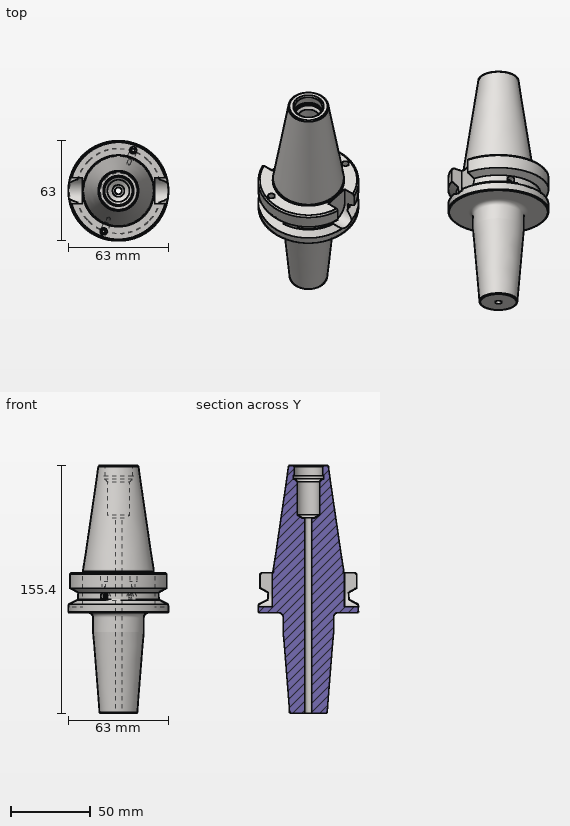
import cadquery as cq
import math


total_height = 155.4
top_z = 65.5
bottom_z = top_z - total_height
flange_top_z = -1.9
flange_bottom_z = -27.0
groove_floor_top_z = -14.3
groove_floor_bottom_z = -18.8
neck_end_z = -39.2

taper_rate = 7 / 24
gauge_radius = 22.2
taper_end_radius = gauge_radius - taper_rate * top_z / 2
flange_radius = 63.0 / 2
groove_radius = 26.5
neck_radius = 16.0
nose_radius = 12.0

taper_end_chamfer = 0.8
flange_top_chamfer = 1.1
flange_bottom_chamfer = 0.6
neck_fillet = 2.8
nose_chamfer = 0.6

relief_start_z = -1.0
relief_depth = 0.5
relief_outer_radius = 22.5

flank_angle = math.radians(30)
flank_height = (flange_radius - groove_radius) * math.tan(flank_angle)
groove_top_z = groove_floor_top_z + flank_height
groove_bottom_z = groove_floor_bottom_z - flank_height

groove_fillet = 0.6
fillet_reach = groove_fillet * math.tan((math.pi / 2 - flank_angle) / 2)
fillet_end_radius = groove_radius + fillet_reach * math.cos(flank_angle)
fillet_end_z = groove_floor_bottom_z - fillet_reach * math.sin(flank_angle)

drill_point_angle = math.radians(118)

mouth_radius = 9.6
pilot_radius = 8.7
undercut_radius = 9.3
thread_radius = 13.8 / 2
drill_radius = 3.7
through_radius = 4.2 / 2
mouth_depth = 1.0
pilot_depth = 6.5
undercut_end_depth = 8.5
thread_depth = 31.1
thread_start_depth = undercut_end_depth + pilot_radius - thread_radius
drill_depth = thread_depth + (thread_radius - drill_radius) / math.tan(drill_point_angle / 2)

slot_width = 16.2
slot_floor_x = 22.7
slot_end_z = -23.2

coolant_circle_radius = 27.0
coolant_angles = (70, 250)
hole_radius = 2.2
hole_depth = 5.5
pilot_hole_radius = 1.1
pilot_hole_depth = 8.5


def outer_body():
    """Taper, grooved flange, neck and tapered nose."""
    return (
        cq.Workplane("YZ")
        .moveTo(0, top_z)
        .lineTo(taper_end_radius - taper_end_chamfer, top_z)
        .lineTo(taper_end_radius, top_z - taper_end_chamfer)
        .lineTo(gauge_radius, 0)
        .lineTo(gauge_radius, relief_start_z)
        .lineTo(gauge_radius - relief_depth, (relief_start_z + flange_top_z) / 2)
        .lineTo(relief_outer_radius, flange_top_z)
        .lineTo(flange_radius - flange_top_chamfer, flange_top_z)
        .lineTo(flange_radius, flange_top_z - flange_top_chamfer)
        .lineTo(flange_radius, groove_top_z)
        .lineTo(groove_radius, groove_floor_top_z)
        .lineTo(groove_radius, groove_floor_bottom_z + fillet_reach)
        .radiusArc((fillet_end_radius, fillet_end_z), -groove_fillet)
        .lineTo(flange_radius, groove_bottom_z)
        .lineTo(flange_radius, flange_bottom_z + flange_bottom_chamfer)
        .lineTo(flange_radius - flange_bottom_chamfer, flange_bottom_z)
        .lineTo(neck_radius + neck_fillet, flange_bottom_z)
        .radiusArc((neck_radius, flange_bottom_z - neck_fillet), -neck_fillet)
        .lineTo(neck_radius, neck_end_z)
        .lineTo(nose_radius, bottom_z + nose_chamfer)
        .lineTo(nose_radius - nose_chamfer, bottom_z)
        .lineTo(0, bottom_z)
        .close()
        .revolve(360, (0, 0, 0), (0, 1, 0))
    )


def bore():
    """Stepped bore from the drive end, carried on as a small through hole."""
    steps = [
        (0, top_z),
        (mouth_radius, top_z),
        (pilot_radius, top_z - mouth_depth),
        (pilot_radius, top_z - pilot_depth),
        (undercut_radius, top_z - pilot_depth),
        (undercut_radius, top_z - undercut_end_depth),
        (pilot_radius, top_z - undercut_end_depth),
        (thread_radius, top_z - thread_start_depth),
        (thread_radius, top_z - thread_depth),
        (drill_radius, top_z - drill_depth),
        (through_radius, top_z - drill_depth),
        (through_radius, bottom_z),
        (0, bottom_z),
    ]
    return cq.Workplane("YZ").polyline(steps).close().revolve(360, (0, 0, 0), (0, 1, 0))


def drive_slot():
    """Cutter for the round-ended slot on the +X side of the flange."""
    half_width = slot_width / 2
    depth = flange_radius - slot_floor_x
    return (
        cq.Workplane("YZ", origin=(slot_floor_x, 0, 0))
        .moveTo(-half_width, flange_top_z)
        .lineTo(-half_width, slot_end_z + half_width)
        .threePointArc((0, slot_end_z), (half_width, slot_end_z + half_width))
        .lineTo(half_width, flange_top_z)
        .close()
        .extrude(depth)
    )


def coolant_hole(start, direction, lead):
    """Cutter for a stepped blind hole; lead is the free length before the hole enters the metal."""
    point_length = pilot_hole_radius / math.tan(drill_point_angle / 2)
    pilot_end = lead + pilot_hole_depth
    barrel = cq.Solid.makeCylinder(hole_radius, lead + hole_depth, start, direction)
    pilot = cq.Solid.makeCylinder(pilot_hole_radius, pilot_end, start, direction)
    point = cq.Solid.makeCone(pilot_hole_radius, 0, point_length, start + direction * pilot_end, direction)
    return cq.Workplane(barrel.fuse(pilot, point))


result = outer_body().cut(bore())

for turn in (0, 180):
    result = result.cut(drive_slot().rotate((0, 0, 0), (0, 0, 1), turn))

down = cq.Vector(0, 0, -1)
groove_middle_z = (groove_floor_top_z + groove_floor_bottom_z) / 2
for angle in coolant_angles:
    outward = cq.Vector(math.cos(math.radians(angle)), math.sin(math.radians(angle)), 0)
    face_start = outward * coolant_circle_radius + cq.Vector(0, 0, flange_top_z)
    groove_start = outward * flange_radius + cq.Vector(0, 0, groove_middle_z)
    result = result.cut(coolant_hole(face_start, down, 0))
    result = result.cut(coolant_hole(groove_start, outward * -1, flange_radius - groove_radius))